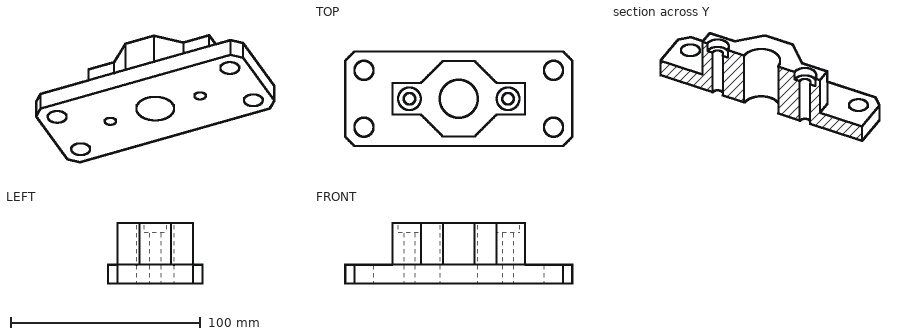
import cadquery as cq
import math

plate_length = 120.0
plate_width = 50.0
plate_thickness = 10.0
corner_chamfer = 5.0
mount_hole_diameter = 10.0
mount_hole_spacing_x = 100.0
mount_hole_spacing_y = 30.0

total_height = 32.0
boss_height = total_height - plate_thickness
octagon_across_flats = 40.0
octagon_sides = 8
half_side_angle = 180.0 / octagon_sides
octagon_side = octagon_across_flats * math.tan(math.radians(half_side_angle))
octagon_across_corners = math.hypot(octagon_across_flats, octagon_side)
arm_span = 70.0
arm_width = octagon_side
bore_diameter = 20.0

screw_spacing = 52.0
screw_diameter = 6.0
counterbore_diameter = 12.0
counterbore_depth = 5.0


def make_plate():
    """Rectangular plate with its underside on Z = 0 and chamfered corners."""
    return (
        cq.Workplane("XY")
        .box(plate_length, plate_width, plate_thickness, centered=(True, True, False))
        .edges("|Z")
        .chamfer(corner_chamfer)
    )


def make_boss():
    """Octagonal hub with flats facing the axes, joined to a bar along X."""
    base = cq.Workplane("XY").workplane(offset=plate_thickness)
    hub = (
        base.transformed(rotate=(0, 0, half_side_angle))
        .polygon(octagon_sides, octagon_across_corners)
        .extrude(boss_height)
    )
    arms = base.rect(arm_span, arm_width).extrude(boss_height)
    return hub.union(arms)


def cut_holes(body):
    """Cut the central bore, the mounting holes and the screw holes."""
    top = cq.Workplane("XY").workplane(offset=total_height)
    bore = top.circle(bore_diameter / 2).extrude(-total_height)
    mount_holes = (
        cq.Workplane("XY")
        .rarray(mount_hole_spacing_x, mount_hole_spacing_y, 2, 2)
        .circle(mount_hole_diameter / 2)
        .extrude(plate_thickness)
    )
    screw_layout = top.rarray(screw_spacing, 1, 2, 1)
    screw_holes = screw_layout.circle(screw_diameter / 2).extrude(-total_height)
    counterbores = screw_layout.circle(counterbore_diameter / 2).extrude(-counterbore_depth)
    for cutter in (bore, mount_holes, screw_holes, counterbores):
        body = body.cut(cutter)
    return body


result = cut_holes(make_plate().union(make_boss()))